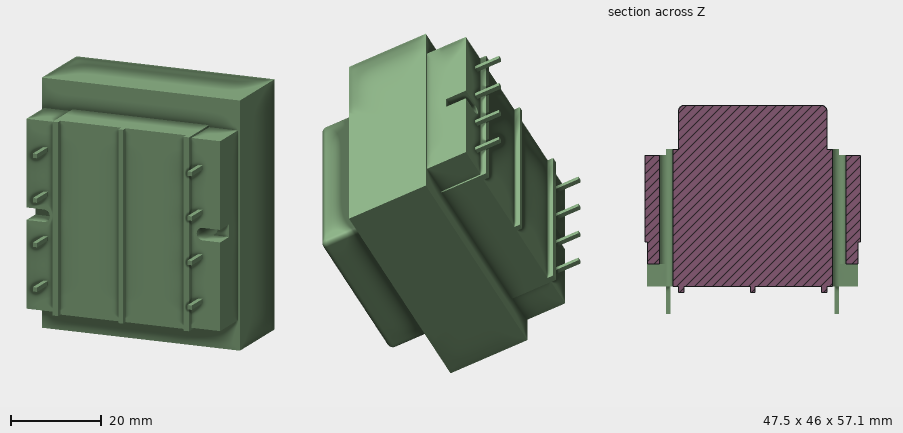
import cadquery as cq

core_width = 47.55
core_depth = 19.15
core_height = 57.15
core_front = -core_depth / 2
core_back = core_depth / 2

coil_width = 32.75
coil_height = 44.3
cover_depth = 11.1
cover_fillet = 1.3

terminal_width = 46.5
terminal_height = 43.4
front_depth = 9.7
front_face = core_front - front_depth

rib_depth = 1.4
edge_rib_width = 1.3
centre_rib_width = 1.15

flange_height = 39.45
flange_depth = 1.4

hole_spacing = 38.1
hole_diameter = 2.85
slot_depth = 4.9

pin_size = 1.0
pin_length = 6.05
pin_column_spacing = 37.15
pin_pitch = 10.2
pins_per_column = 4


def block(width, height, y_start, y_end, x=0, z=0):
    """Box centred on (x, z), reaching from y_start to y_end."""
    depth = y_end - y_start
    return cq.Workplane("XY").box(width, depth, height).translate((x, y_start + depth / 2, z))


def cover():
    """Coil cover behind the core, rounded on every exposed edge."""
    body = block(coil_width, coil_height, core_back, core_back + cover_depth)
    return body.edges("|Y or >Y").fillet(cover_fillet)


def ribs():
    """Three full-height standoff ribs, the outer two flush with the coil sides."""
    edge_x = (coil_width - edge_rib_width) / 2
    rib_rows = [(-edge_x, edge_rib_width), (0, centre_rib_width), (edge_x, edge_rib_width)]
    bars = cq.Workplane("XY")
    for x, width in rib_rows:
        bars = bars.add(block(width, coil_height, front_face - rib_depth, front_face, x))
    return bars.combine()


def pins():
    """Two columns of square pins standing on the terminal block."""
    points = cq.Workplane("XZ", origin=(0, front_face, 0)).rarray(
        pin_column_spacing, pin_pitch, 2, pins_per_column
    )
    return points.rect(pin_size, pin_size).extrude(pin_length)


def mounting_cuts():
    """Through holes along Y, each with a slot open to the nearest side."""
    hole_x = hole_spacing / 2
    slot_length = core_width / 2 - hole_x
    front_slot_end = front_face + slot_depth
    holes = (
        cq.Workplane("XZ", origin=(0, core_back + flange_depth, 0))
        .pushPoints([(-hole_x, 0), (hole_x, 0)])
        .circle(hole_diameter / 2)
        .extrude(core_depth + flange_depth + front_depth)
    )
    for side in (-1, 1):
        slot_x = side * (hole_x + slot_length / 2)
        holes = holes.union(block(slot_length, hole_diameter, front_face, front_slot_end, slot_x))
    return holes


core = block(core_width, core_height, core_front, core_back)
winding_body = block(coil_width, coil_height, front_face, core_front)
terminal_block = block(terminal_width, terminal_height, front_face, core_front)
back_flange = block(hole_spacing, flange_height, core_back, core_back + flange_depth)

result = (
    core.union(winding_body)
    .union(terminal_block)
    .union(back_flange)
    .cut(mounting_cuts())
    .union(cover())
    .union(ribs())
    .union(pins())
)